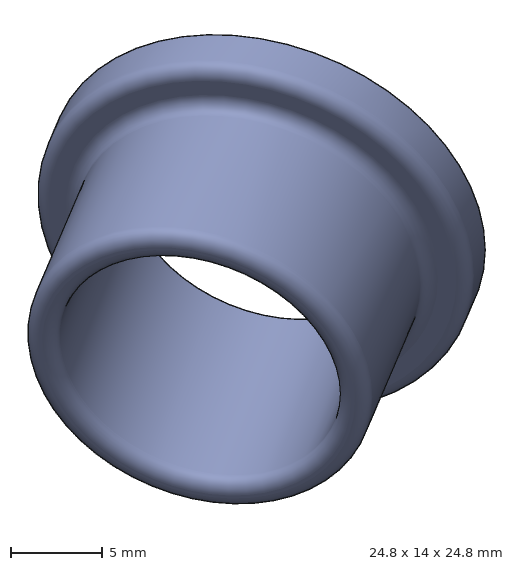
import cadquery as cq

flange_diameter = 24.8
barrel_diameter = 19.6
bore_diameter = 16.0
total_length = 14.0
flange_thickness = 3.0
edge_radius = 0.8

barrel_length = total_length - flange_thickness


def cylinder_toward_front(diameter, length, back_y=0.0):
    """Cylinder running from back_y toward -Y."""
    return cq.Workplane("XZ", origin=(0, back_y, 0)).circle(diameter / 2).extrude(length)


flange = cylinder_toward_front(flange_diameter, flange_thickness)
flange = flange.faces("<Y").edges().fillet(edge_radius)

barrel = cylinder_toward_front(barrel_diameter, barrel_length, -flange_thickness)
body = flange.union(barrel)
root_edge = cq.selectors.RadiusNthSelector(0)
body = body.faces("<Y[1]").edges(root_edge).fillet(edge_radius)

bore = cylinder_toward_front(bore_diameter, total_length)
result = body.cut(bore).faces("<Y").edges().fillet(edge_radius)